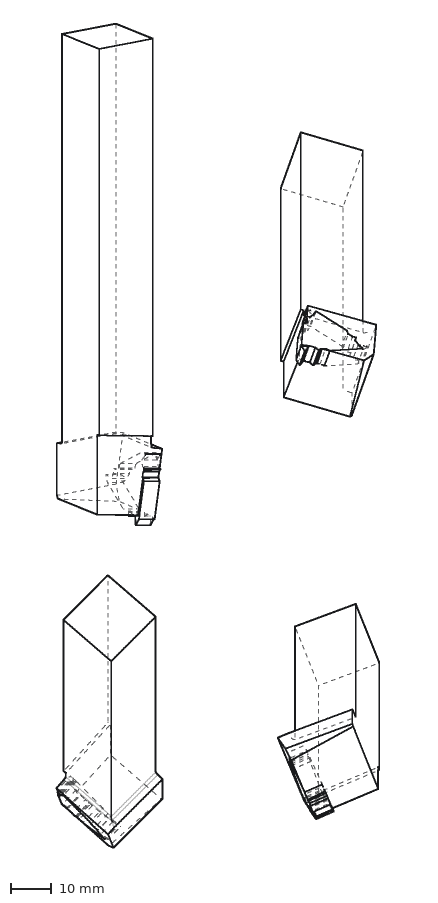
import cadquery as cq
import math

shank_size = 16.0
top_z = 124.23

head_width = 18.29
head_depth = 19.61
ledge_z = 19.85
back_ledge_angle = 14.0
left_ledge_angle = 10.0
ledge_fillet = 0.8
head_top_z = ledge_z + 2 * ledge_fillet
back_lean = 9.0
back_helix = 1.0
bottom_front_z = 5.4
bottom_angle = 10.0
chamfer_width = 2.35
chamfer_top_z = 6.2
chamfer_bottom_z = 2.3

relief_depth = 0.78
relief_front_z = 25.8

insert_thickness = 4.7
insert_inradius = 6.1
insert_inset = 0.02
corner_count = 3
corner_turn = 360.0 / corner_count
tooth_tip_offset = 5.07
tooth_tip_drop = 9.05
tooth_tip_flat = 0.1
tooth_left_offset = 4.25
land_drop = 6.78
land_left_offset = 2.6
side_bottom_drop = 7.25
side_top_rise = 2.25
notch_depth = 0.9
notch_bottom_rise = 3.1
notch_top_rise = 4.4
bump_depth = 0.4
bump_rise = 5.25
rake_sink = 0.3

cutter_size = 60.0


def slope(angle):
    return math.tan(math.radians(angle))


def turned(point, angle):
    """Turn a flat point about the insert centre."""
    c = math.cos(math.radians(angle))
    s = math.sin(math.radians(angle))
    return (c * point[0] - s * point[1], s * point[0] + c * point[1])


lean = math.radians(back_lean)
helix = math.radians(back_helix)
face_normal = cq.Vector(
    math.sin(helix) * math.cos(lean),
    math.cos(helix) * math.cos(lean),
    -math.sin(lean),
)
face_right = cq.Vector(math.cos(helix), -math.sin(helix), 0)

corner_x = -head_width
corner_z = ledge_z - (head_depth - shank_size) * slope(back_ledge_angle)
corner = cq.Vector(corner_x, head_depth, corner_z)

center_x = -insert_inradius - insert_inset
center_z = tooth_tip_drop * math.cos(lean) - rake_sink * math.sin(lean)
center_y = corner.y - (
    face_normal.x * (center_x - corner.x) + face_normal.z * (center_z - corner.z)
) / face_normal.y
face_plane = cq.Plane(
    origin=(center_x, center_y, center_z),
    xDir=face_right.toTuple(),
    normal=(-face_normal).toTuple(),
)


def draw_ledge(outline, wall, reach, angle):
    """Continue a head outline along a ledge, from its outer end at reach up to the shank wall."""
    outward = math.copysign(1, reach - wall)
    tilt = math.radians(angle)
    half_corner = (math.pi / 2 + tilt) / 2
    tangent = ledge_fillet / math.tan(half_corner)
    outer_z = ledge_z - abs(reach - wall) * math.tan(tilt)
    start = (wall + outward * tangent * math.cos(tilt), ledge_z - tangent * math.sin(tilt))
    end = (wall, ledge_z + tangent)
    bisector = half_corner - tilt
    to_middle = ledge_fillet / math.sin(half_corner) - ledge_fillet
    middle = (
        wall + outward * to_middle * math.cos(bisector),
        ledge_z + to_middle * math.sin(bisector),
    )
    return (
        outline.lineTo(reach, outer_z)
        .lineTo(*start)
        .threePointArc(middle, end)
        .lineTo(wall, head_top_z)
        .lineTo(0, head_top_z)
        .close()
    )


def make_holder_blank():
    """Shank and head with rounded sloping ledges, a sloped bottom and a leaning back."""
    shank = cq.Workplane("XY").box(
        shank_size, shank_size, top_z - bottom_front_z, centered=False
    ).translate((-shank_size, 0, bottom_front_z))

    bottom_back_z = bottom_front_z - head_depth * slope(bottom_angle)
    depth_outline = cq.Workplane("YZ").moveTo(0, bottom_front_z).lineTo(head_depth, bottom_back_z)
    depth_outline = draw_ledge(depth_outline, shank_size, head_depth, back_ledge_angle)

    bevel_x = -head_width + chamfer_width
    width_outline = (
        cq.Workplane("XZ")
        .lineTo(bevel_x, 0)
        .lineTo(bevel_x, chamfer_bottom_z)
        .lineTo(-head_width, chamfer_top_z)
    )
    width_outline = draw_ledge(width_outline, -shank_size, -head_width, left_ledge_angle)

    head = depth_outline.extrude(-head_width).intersect(width_outline.extrude(-head_depth))
    behind = cq.Workplane(face_plane).rect(cutter_size, cutter_size).extrude(-cutter_size)
    return shank.union(head.cut(behind))


def make_relief():
    """Shallow cut on the right face, its upper end parallel to the bottom."""
    relief_back_z = relief_front_z - head_depth * slope(bottom_angle)
    return (
        cq.Workplane("YZ")
        .polyline([(0, 0), (head_depth, 0), (head_depth, relief_back_z), (0, relief_front_z)])
        .close()
        .extrude(-relief_depth)
    )


def make_insert():
    """Triangular plate under the face plane, with its tooth rake faces sunk."""
    side = insert_inradius
    one_third = [
        (side, -side_bottom_drop),
        (side, side_top_rise),
        (side - notch_depth, notch_bottom_rise),
        (side - notch_depth, notch_top_rise),
        (side - bump_depth, bump_rise),
    ]
    tooth = [
        (land_left_offset, -land_drop),
        (tooth_left_offset, -land_drop),
        (tooth_tip_offset - tooth_tip_flat / 2, -tooth_tip_drop),
        (tooth_tip_offset + tooth_tip_flat / 2, -tooth_tip_drop),
    ]
    outline = []
    for i in range(corner_count):
        outline += [turned(p, i * corner_turn) for p in tooth + one_third]
    plate = cq.Workplane(face_plane).polyline(outline).close().extrude(insert_thickness)
    for i in range(corner_count):
        rake = [turned(p, i * corner_turn) for p in tooth[1:] + one_third[:1]]
        plate = plate.cut(cq.Workplane(face_plane).polyline(rake).close().extrude(rake_sink))
    return plate


insert = make_insert()
holder = make_holder_blank().cut(make_relief()).cut(insert)
result = cq.Compound.makeCompound([*holder.solids().vals(), *insert.solids().vals()])